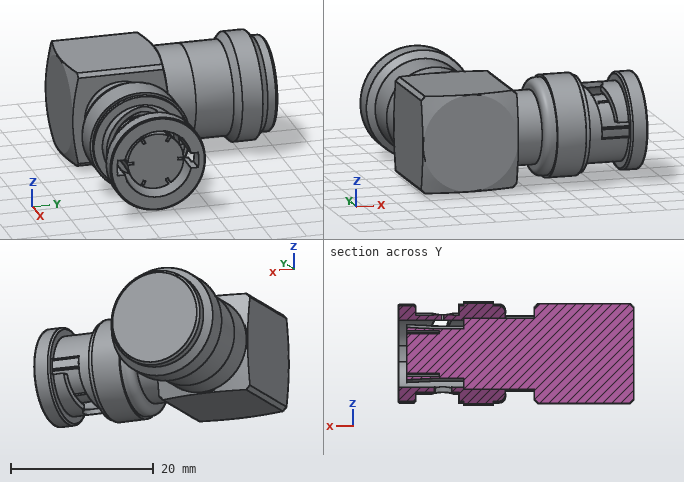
import cadquery as cq
import math


BLOCK_SIZE = 14.0
BLOCK_HALF = BLOCK_SIZE / 2
EDGE_CHAMFER = 0.57
FACE_CIRCLE_RADIUS = 6.95
CORNER_RADIUS = math.hypot(BLOCK_HALF, BLOCK_HALF - EDGE_CHAMFER)
CORNER_DROP = 0.8

REAR_RADIUS = 6.83
REAR_JOINT_Y = 11.02
REAR_END_Y = 23.0
REAR_END_CHAMFER = 0.35
COLLAR_RADIUS = 7.8
COLLAR_START_Y = 16.53
COLLAR_END_Y = 21.45
COLLAR_CHAMFER = COLLAR_RADIUS - REAR_RADIUS

NECK_RADIUS = 5.27
NECK_END_X = 16.85
BARREL_RADIUS = 3.85
BARREL_TIP_RADIUS = 4.05
BARREL_END_X = 24.85
SLIT_FLOOR_RADIUS = 3.25
SLIT_START_X = 20.28
SLIT_WIDTH = 0.35
SLIT_COUNT = 6

COUPLING_START_X = 11.0
COUPLING_END_X = 26.0
SHOULDER_RADIUS = 6.93
SHOULDER_ROUND = 0.98
GRIP_RADIUS = 7.27
GRIP_START_X = 12.68
GRIP_END_X = 16.85
SHOULDER_END_X = 17.5
SLEEVE_RADIUS = 5.68
SLEEVE_BORE_RADIUS = 4.95
FLANGE_START_X = 23.55
FLANGE_RADIUS = 6.93
FLANGE_CHAMFER = 0.27
MOUTH_CHAMFER = 0.17

LATCH_X = 19.77
LATCH_RADIUS = 1.62
ENTRY_START_X = 19.65
ENTRY_WIDTH = 2.23
ENTRY_RADIUS = 5.95
SLANT_ANGLE = 15
SLANT_WIDTH = 2.3
TRACK_COUNT = 2


def cylinder_x(radius, start, end):
    """Cylinder on the X axis from start to end."""
    return cq.Workplane("YZ").workplane(offset=start).circle(radius).extrude(end - start)


def cylinder_y(radius, start, end):
    """Cylinder on the Y axis from start to end."""
    return cq.Workplane("XZ").workplane(offset=-start).circle(radius).extrude(start - end)


def make_block():
    """Square block with chamfered long edges and coned front and back corners."""
    block = cq.Workplane("XY").box(BLOCK_SIZE, BLOCK_SIZE, BLOCK_SIZE).edges("|Y").chamfer(EDGE_CHAMFER)
    cone_side_y = BLOCK_HALF - CORNER_DROP
    envelope = (
        cq.Workplane("XY")
        .moveTo(0, -BLOCK_HALF)
        .lineTo(FACE_CIRCLE_RADIUS, -BLOCK_HALF)
        .lineTo(CORNER_RADIUS, -cone_side_y)
        .lineTo(CORNER_RADIUS, cone_side_y)
        .lineTo(FACE_CIRCLE_RADIUS, BLOCK_HALF)
        .lineTo(0, BLOCK_HALF)
        .close()
        .revolve(360, (0, 0, 0), (0, 1, 0))
    )
    return block.intersect(envelope)


def make_barrel():
    """Contact barrel whose slightly flared end is slit into spring fingers."""
    barrel = (
        cq.Workplane("XY")
        .moveTo(NECK_END_X, 0)
        .lineTo(NECK_END_X, BARREL_RADIUS)
        .lineTo(SLIT_START_X, BARREL_RADIUS)
        .lineTo(BARREL_END_X, BARREL_TIP_RADIUS)
        .lineTo(BARREL_END_X, 0)
        .close()
        .revolve(360, (0, 0, 0), (1, 0, 0))
    )
    slit_length = BARREL_END_X - SLIT_START_X
    slit = (
        cq.Workplane("XY")
        .box(slit_length, SLEEVE_BORE_RADIUS, SLIT_WIDTH)
        .translate((SLIT_START_X + slit_length / 2, -SLEEVE_BORE_RADIUS / 2, 0))
        .cut(cylinder_x(SLIT_FLOOR_RADIUS, SLIT_START_X, BARREL_END_X))
    )
    for index in range(SLIT_COUNT):
        angle = index * 360 / SLIT_COUNT
        barrel = barrel.cut(slit.rotate((0, 0, 0), (1, 0, 0), angle))
    return barrel


def make_housing():
    """Elbow block with its rear stub, its neck and the contact barrel."""
    stub = cylinder_y(REAR_RADIUS, 0, REAR_JOINT_Y)
    neck = cylinder_x(NECK_RADIUS, 0, NECK_END_X)
    return make_block().union(stub).union(neck).union(make_barrel())


def make_rear_connector():
    """Rear cylinder with a collar bevelled on both sides and a chamfered end."""
    body = cylinder_y(REAR_RADIUS, REAR_JOINT_Y, REAR_END_Y).faces(">Y").chamfer(REAR_END_CHAMFER)
    collar = cylinder_y(COLLAR_RADIUS, COLLAR_START_Y, COLLAR_END_Y)
    collar = collar.faces("<Y or >Y").chamfer(COLLAR_CHAMFER)
    return body.union(collar)


def make_bayonet_track():
    """Cutter for the track on the +Z and -Y side of the sleeve."""
    latch = cq.Workplane("XY").center(LATCH_X, 0).circle(LATCH_RADIUS).extrude(SLEEVE_RADIUS)

    slant_length = SLEEVE_RADIUS / math.cos(math.radians(SLANT_ANGLE)) + LATCH_RADIUS
    slant = (
        cq.Workplane("XY")
        .rect(SLANT_WIDTH, slant_length)
        .extrude(SLEEVE_RADIUS)
        .translate((SLANT_WIDTH / 2 - LATCH_RADIUS, -slant_length / 2, 0))
        .rotate((0, 0, 0), (0, 0, 1), SLANT_ANGLE)
        .translate((LATCH_X, 0, 0))
    )

    entry_length = COUPLING_END_X - ENTRY_START_X
    entry = (
        cq.Workplane("XY")
        .box(entry_length, ENTRY_RADIUS, ENTRY_WIDTH)
        .translate((ENTRY_START_X + entry_length / 2, -ENTRY_RADIUS / 2, 0))
    )
    track_reach = cylinder_x(ENTRY_RADIUS, SHOULDER_END_X, COUPLING_END_X)
    return latch.union(slant).union(entry).intersect(track_reach)


def make_coupling():
    """Bayonet coupling: gripped shoulder, bored sleeve and end flange."""
    shoulder = cylinder_x(SHOULDER_RADIUS, COUPLING_START_X, SHOULDER_END_X)
    shoulder = shoulder.faces("<X").edges().fillet(SHOULDER_ROUND)
    grip = cylinder_x(GRIP_RADIUS, GRIP_START_X, GRIP_END_X)
    sleeve = cylinder_x(SLEEVE_RADIUS, COUPLING_START_X, COUPLING_END_X)
    flange = cylinder_x(FLANGE_RADIUS, FLANGE_START_X, COUPLING_END_X)
    flange = flange.faces("<X").chamfer(FLANGE_CHAMFER).faces(">X").chamfer(MOUTH_CHAMFER)
    coupling = shoulder.union(grip).union(sleeve).union(flange)

    coupling = coupling.cut(cylinder_x(NECK_RADIUS, COUPLING_START_X, NECK_END_X))
    coupling = coupling.cut(cylinder_x(SLEEVE_BORE_RADIUS, NECK_END_X, COUPLING_END_X))
    track = make_bayonet_track()
    for index in range(TRACK_COUNT):
        angle = index * 360 / TRACK_COUNT
        coupling = coupling.cut(track.rotate((0, 0, 0), (1, 0, 0), angle))
    return coupling


housing = make_housing()
rear_connector = make_rear_connector()
coupling = make_coupling()

result = cq.Compound.makeCompound([housing.val(), rear_connector.val(), coupling.val()])